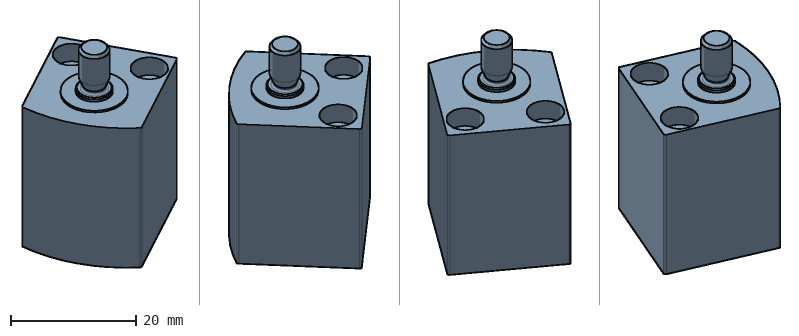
import cadquery as cq

width = 20.0
depth = 21.95
housing_height = 27.52
back_y = 13.0
side_length = width
corner_radius = 0.35
boss_diameter = 10.8
boss_height = 0.35

hole_diameter = 3.4
counterbore_diameter = 6.0
counterbore_depth = 3.5
hole_spacing = 13.0
hole_from_back = 4.0

total_height = 36.5
collar_diameter = 6.0
collar_height = 0.7
collar_chamfer = 0.22
neck_diameter = 3.8
neck_fillet = 0.35
neck_height = 0.22
taper_height = 1.65
taper_bulge = 0.055
head_diameter = 5.0
tip_diameter = 4.12
tip_chamfer_height = 0.5

boss_top = housing_height + boss_height


def make_housing():
    front_y = back_y - depth
    side_end_y = back_y - side_length
    half_width = width / 2
    block = (
        cq.Workplane("XY")
        .moveTo(-half_width, side_end_y)
        .lineTo(-half_width, back_y)
        .lineTo(half_width, back_y)
        .lineTo(half_width, side_end_y)
        .threePointArc((0, front_y), (-half_width, side_end_y))
        .close()
        .extrude(housing_height)
        .edges("|Z")
        .fillet(corner_radius)
    )
    boss = cq.Workplane("XY").circle(boss_diameter / 2).extrude(boss_top)
    hole_y = back_y - hole_from_back
    for hole_x in (-hole_spacing / 2, hole_spacing / 2):
        block = (
            block.faces(">Z")
            .workplane(origin=(hole_x, hole_y, housing_height))
            .cboreHole(hole_diameter, counterbore_diameter, counterbore_depth)
        )
    return block.union(boss)


def make_pin():
    collar_radius = collar_diameter / 2
    neck_radius = neck_diameter / 2
    head_radius = head_diameter / 2
    tip_radius = tip_diameter / 2
    collar_top = boss_top + collar_height
    neck_bottom = collar_top + neck_fillet
    taper_bottom = neck_bottom + neck_height
    taper_top = taper_bottom + taper_height
    taper_middle = (
        (neck_radius + head_radius) / 2 + taper_bulge,
        (taper_bottom + taper_top) / 2,
    )
    return (
        cq.Workplane("XZ")
        .moveTo(0, boss_top)
        .lineTo(collar_radius, boss_top)
        .lineTo(collar_radius, collar_top - collar_chamfer)
        .lineTo(collar_radius - collar_chamfer, collar_top)
        .lineTo(neck_radius + neck_fillet, collar_top)
        .radiusArc((neck_radius, neck_bottom), neck_fillet)
        .lineTo(neck_radius, taper_bottom)
        .threePointArc(taper_middle, (head_radius, taper_top))
        .lineTo(head_radius, total_height - tip_chamfer_height)
        .lineTo(tip_radius, total_height)
        .lineTo(0, total_height)
        .close()
        .revolve(360, (0, 0, 0), (0, 1, 0))
    )


housing = make_housing()
pin = make_pin()
result = cq.Compound.makeCompound([housing.val(), pin.val()])